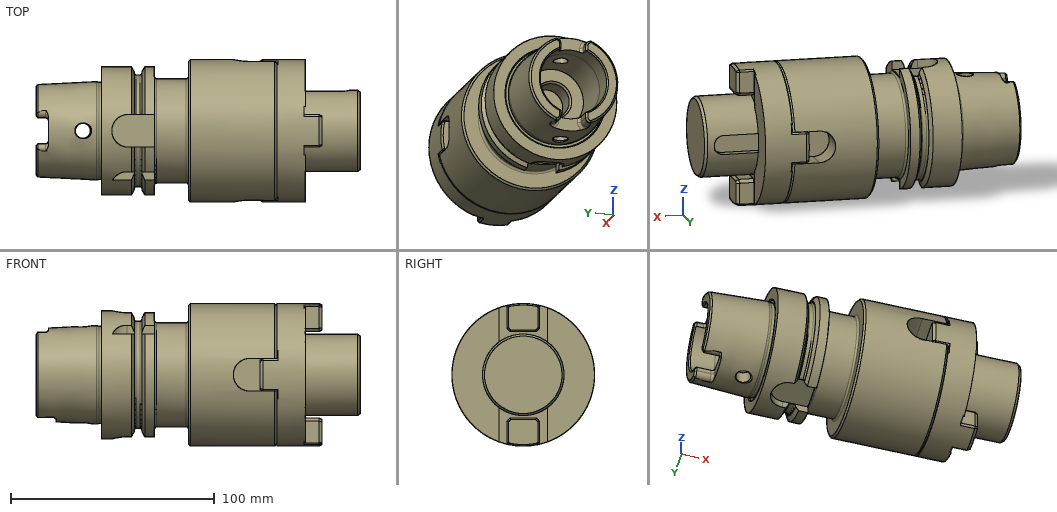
import cadquery as cq
import math

SHANK_LENGTH = 32.0
FLANGE_WIDTH = 26.0
RING_END_X = 100.0
RING_WIDTH = 14.0
PILOT_LENGTH = 27.0
SLEEVE_START_X = 42.7
SLEEVE_END_X = RING_END_X - RING_WIDTH
PILOT_END_X = RING_END_X + PILOT_LENGTH

FLANGE_RADIUS = 31.5
NECK_RADIUS = 25.65
SLEEVE_RADIUS = 35.0
PILOT_RADIUS = 20.0

TAPER_SLOPE = 1 / 20
TAPER_GAUGE_RADIUS = 24.0
TAPER_GAUGE_X = -6.3
TAPER_END_X = -2.3
RELIEF_START_X = -1.1
RELIEF_RADIUS = 23.9
FACE_RECESS_DEPTH = 0.5
FACE_RECESS_RADIUS = 25.7
SHANK_CHAMFER = 0.9

NECK_FILLET = 1.1
SLEEVE_CHAMFER = 1.0
PILOT_CHAMFER_LENGTH = 1.4
PILOT_CHAMFER_DEPTH = 1.0

GROOVE_CENTER_X = 18.0
GROOVE_FLOOR_RADIUS = 27.5
GROOVE_HALF_WIDTH = 3.3
GROOVE_FLANK_ANGLE = 60.0
GROOVE_WALL_HALF_WIDTH = 1.8
GROOVE_FILLET = 0.8

BORE_RADIUS = 17.0
BORE_CHAMFER = 0.7
BORE_STRAIGHT_DEPTH = 13.0
BORE_FLOOR_RADIUS = 15.6
BORE_DEPTH = 36.0
CORE_HOLE_RADIUS = 8.6
CORE_HOLE_CHAMFER = 1.0
CORE_HOLE_DEPTH = 12.0

ACCESS_HOLE_X = -9.1
ACCESS_HOLE_RADIUS = 3.65
ACCESS_HOLE_CHAMFER = 0.5
COUNTERSINK_OVERRUN = 1.0

DRIVE_SLOT_WIDTH = 12.6
DRIVE_SLOT_EDGE_RADIUS = 2.5
DRIVE_SLOT_CORNER_RADIUS = 1.5
DRIVE_SLOT_MOUTH_CHAMFER = 1.0
TOP_DRIVE_SLOT_DEPTH = 6.0
BOTTOM_DRIVE_SLOT_DEPTH = 9.8

KEY_SLOT_WIDTH = 16.0
KEY_SLOT_START_X = 5.1
KEY_SLOT_FLOOR = 26.0
NOTCH_OFFSET = 20.1
NOTCH_START_X = 4.5
NOTCH_END_RADIUS = 8.0

TENON_WIDTH = 16.0
TENON_LENGTH = 8.2
TENON_INNER = 21.15
TENON_TIP_BEVEL_LENGTH = 1.5
TENON_TIP_BEVEL_DEPTH = 0.8
TENON_INNER_CHAMFER = 1.6
TENON_OUTER_CHAMFER = 0.9
RELIEF_WIDTH = 23.8
RELIEF_DEPTH = 0.6
SLEEVE_SLOT_LENGTH = 21.3

PILOT_SLOT_WIDTH = 9.6
PILOT_SLOT_END_X = 122.3
PILOT_SLOT_FLOOR = 15.0

STOCK_RADIUS = SLEEVE_RADIUS + 2.0
SEAM_ANGLE = 45.0
CLEAR = 60.0


def revolve_about_x(profile):
    """Turn a closed XY profile, drawn as (x, radius), about the X axis."""
    return profile.close().revolve(360, (0, 0, 0), (1, 0, 0))


def taper_radius(x):
    return TAPER_GAUGE_RADIUS + (x - TAPER_GAUGE_X) * TAPER_SLOPE


def box(x_range, y_range, z_range):
    """Axis-aligned box from its limits on X, Y and Z."""
    lows, highs = zip(x_range, y_range, z_range)
    sizes = [high - low for low, high in zip(lows, highs)]
    return cq.Workplane("XY").box(*sizes, centered=False).translate(lows)


def round_ended_slot(start_x, end_x, width, floor):
    """Cutter for a slot open towards +Z whose start is a half circle."""
    radius = width / 2
    center_x = start_x + radius
    return (
        cq.Workplane("XY", origin=(0, 0, floor))
        .moveTo(end_x, -radius)
        .lineTo(center_x, -radius)
        .threePointArc((start_x, 0), (center_x, radius))
        .lineTo(end_x, radius)
        .close()
        .extrude(CLEAR)
    )


def turn_about_x(shape, angle):
    return shape.rotate((0, 0, 0), (1, 0, 0), angle)



def turned_arbor():
    shank_start = -SHANK_LENGTH
    chamfer_x = shank_start + SHANK_CHAMFER
    profile = (
        cq.Workplane("XY")
        .moveTo(shank_start, 0)
        .lineTo(shank_start, taper_radius(shank_start) - SHANK_CHAMFER)
        .lineTo(chamfer_x, taper_radius(chamfer_x))
        .lineTo(TAPER_END_X, taper_radius(TAPER_END_X))
        .lineTo(RELIEF_START_X, RELIEF_RADIUS)
        .lineTo(FACE_RECESS_DEPTH, RELIEF_RADIUS)
        .lineTo(FACE_RECESS_DEPTH, FACE_RECESS_RADIUS - FACE_RECESS_DEPTH)
        .lineTo(0, FACE_RECESS_RADIUS)
        .lineTo(0, FLANGE_RADIUS)
        .lineTo(FLANGE_WIDTH, FLANGE_RADIUS)
        .lineTo(FLANGE_WIDTH, NECK_RADIUS + NECK_FILLET)
        .radiusArc((FLANGE_WIDTH + NECK_FILLET, NECK_RADIUS), -NECK_FILLET)
        .lineTo(SLEEVE_START_X - NECK_FILLET, NECK_RADIUS)
        .radiusArc((SLEEVE_START_X, NECK_RADIUS + NECK_FILLET), -NECK_FILLET)
        .lineTo(SLEEVE_START_X, SLEEVE_RADIUS - SLEEVE_CHAMFER)
        .lineTo(SLEEVE_START_X + SLEEVE_CHAMFER, SLEEVE_RADIUS)
        .lineTo(SLEEVE_END_X - SLEEVE_CHAMFER, SLEEVE_RADIUS)
        .lineTo(SLEEVE_END_X, SLEEVE_RADIUS - SLEEVE_CHAMFER)
        .lineTo(SLEEVE_END_X, PILOT_RADIUS)
        .lineTo(PILOT_END_X - PILOT_CHAMFER_LENGTH, PILOT_RADIUS)
        .lineTo(PILOT_END_X, PILOT_RADIUS - PILOT_CHAMFER_DEPTH)
        .lineTo(PILOT_END_X, 0)
    )
    return revolve_about_x(profile)


def gripper_groove():
    """V groove with a straight-walled channel, filleted at its floor."""
    flank_run = GROOVE_HALF_WIDTH - GROOVE_WALL_HALF_WIDTH
    wall_top = FLANGE_RADIUS - flank_run * math.tan(math.radians(GROOVE_FLANK_ANGLE))
    floor_half = GROOVE_WALL_HALF_WIDTH - GROOVE_FILLET
    profile = (
        cq.Workplane("XY", origin=(GROOVE_CENTER_X, 0, 0))
        .moveTo(-GROOVE_HALF_WIDTH, FLANGE_RADIUS)
        .lineTo(-GROOVE_WALL_HALF_WIDTH, wall_top)
        .lineTo(-GROOVE_WALL_HALF_WIDTH, GROOVE_FLOOR_RADIUS + GROOVE_FILLET)
        .radiusArc((-floor_half, GROOVE_FLOOR_RADIUS), -GROOVE_FILLET)
        .lineTo(floor_half, GROOVE_FLOOR_RADIUS)
        .radiusArc((GROOVE_WALL_HALF_WIDTH, GROOVE_FLOOR_RADIUS + GROOVE_FILLET), -GROOVE_FILLET)
        .lineTo(GROOVE_WALL_HALF_WIDTH, wall_top)
        .lineTo(GROOVE_HALF_WIDTH, FLANGE_RADIUS)
    )
    return revolve_about_x(profile)


def shank_bore():
    start = -SHANK_LENGTH
    floor = start + BORE_DEPTH
    profile = (
        cq.Workplane("XY")
        .moveTo(start, 0)
        .lineTo(start, BORE_RADIUS + BORE_CHAMFER)
        .lineTo(start + BORE_CHAMFER, BORE_RADIUS)
        .lineTo(start + BORE_STRAIGHT_DEPTH, BORE_RADIUS)
        .lineTo(floor, BORE_FLOOR_RADIUS)
        .lineTo(floor, CORE_HOLE_RADIUS + CORE_HOLE_CHAMFER)
        .lineTo(floor + CORE_HOLE_CHAMFER, CORE_HOLE_RADIUS)
        .lineTo(floor + CORE_HOLE_DEPTH, CORE_HOLE_RADIUS)
        .lineTo(floor + CORE_HOLE_DEPTH, 0)
    )
    return revolve_about_x(profile)


def access_hole():
    """Plain hole drilled along Z through both shank walls."""
    return (
        cq.Workplane("XY", origin=(ACCESS_HOLE_X, 0, 0))
        .circle(ACCESS_HOLE_RADIUS)
        .extrude(CLEAR, both=True)
    )


def access_countersink():
    """Cone towards +Z that chamfers the mouth of the access hole by 45 degrees."""
    rim_radius = ACCESS_HOLE_RADIUS + ACCESS_HOLE_CHAMFER
    rim_z = taper_radius(ACCESS_HOLE_X)
    tip_radius = ACCESS_HOLE_RADIUS - COUNTERSINK_OVERRUN
    outer_radius = rim_radius + COUNTERSINK_OVERRUN
    base = cq.Vector(ACCESS_HOLE_X, 0, rim_z - (rim_radius - tip_radius))
    return cq.Workplane(cq.Solid.makeCone(tip_radius, outer_radius, outer_radius - tip_radius, base))


def drive_slot(depth):
    """Slot towards +Z whose side walls round over into the taper surface."""
    outer = taper_radius(-SHANK_LENGTH + depth / 2)
    arc_center_y = DRIVE_SLOT_WIDTH / 2 + DRIVE_SLOT_EDGE_RADIUS
    arc_center_z = math.sqrt((outer - DRIVE_SLOT_EDGE_RADIUS) ** 2 - arc_center_y ** 2)

    def section(edge_radius):
        half = arc_center_y - edge_radius
        scale = 1 + edge_radius / (outer - DRIVE_SLOT_EDGE_RADIUS)
        rim_y = arc_center_y * scale
        rim_z = arc_center_z * scale
        return (
            cq.Workplane("YZ", origin=(-SHANK_LENGTH, 0, 0))
            .moveTo(-half, 0)
            .lineTo(-half, arc_center_z)
            .radiusArc((-rim_y, rim_z), -edge_radius)
            .lineTo(-rim_y, CLEAR)
            .lineTo(rim_y, CLEAR)
            .lineTo(rim_y, rim_z)
            .radiusArc((half, arc_center_z), -edge_radius)
            .lineTo(half, 0)
            .close()
        )

    slot = section(DRIVE_SLOT_EDGE_RADIUS).extrude(depth)
    slot = slot.faces(">X").edges("not #Z").fillet(DRIVE_SLOT_CORNER_RADIUS)
    mouth_edge_radius = DRIVE_SLOT_EDGE_RADIUS - DRIVE_SLOT_MOUTH_CHAMFER
    mouth = section(mouth_edge_radius).extrude(DRIVE_SLOT_MOUTH_CHAMFER, taper=45)
    return slot.union(mouth)


def corner_notch():
    """Square corner cut between -Y and +Z, ending in a milled radius."""
    center_x = NOTCH_START_X + NOTCH_END_RADIUS
    wall_y = -NOTCH_OFFSET
    return (
        cq.Workplane("XY", origin=(0, 0, NOTCH_OFFSET))
        .moveTo(FLANGE_WIDTH, wall_y)
        .lineTo(center_x, wall_y)
        .radiusArc((NOTCH_START_X, wall_y - NOTCH_END_RADIUS), -NOTCH_END_RADIUS)
        .lineTo(NOTCH_START_X, -CLEAR)
        .lineTo(FLANGE_WIDTH, -CLEAR)
        .close()
        .extrude(CLEAR)
    )


def pilot_key_slot():
    """Feather key slot towards +Z, rounded at its outer end."""
    radius = PILOT_SLOT_WIDTH / 2
    center_x = PILOT_SLOT_END_X - radius
    return (
        cq.Workplane("XY", origin=(0, 0, PILOT_SLOT_FLOOR))
        .moveTo(SLEEVE_END_X, -radius)
        .lineTo(center_x, -radius)
        .threePointArc((PILOT_SLOT_END_X, 0), (center_x, radius))
        .lineTo(SLEEVE_END_X, radius)
        .close()
        .extrude(PILOT_RADIUS)
    )


def make_arbor():
    arbor = turn_about_x(turned_arbor().cut(gripper_groove()).cut(shank_bore()), SEAM_ANGLE)
    arbor = arbor.cut(access_hole())
    flange_key_slot = round_ended_slot(
        KEY_SLOT_START_X, FLANGE_WIDTH, KEY_SLOT_WIDTH, KEY_SLOT_FLOOR
    )
    for angle, drive_depth in ((0, TOP_DRIVE_SLOT_DEPTH), (180, BOTTOM_DRIVE_SLOT_DEPTH)):
        arbor = arbor.cut(turn_about_x(access_countersink(), angle))
        arbor = arbor.cut(turn_about_x(drive_slot(drive_depth), angle))
        arbor = arbor.cut(turn_about_x(flange_key_slot, angle))
    arbor = arbor.cut(corner_notch())
    tenon_slot = round_ended_slot(
        SLEEVE_END_X - SLEEVE_SLOT_LENGTH, SLEEVE_END_X, TENON_WIDTH, TENON_INNER
    )
    for angle in (90, -90):
        arbor = arbor.cut(turn_about_x(tenon_slot, angle))
    return arbor.cut(turn_about_x(pilot_key_slot(), -90))



def ring_envelope():
    """Outer cylinder and bore that bound the ring and its tenons."""
    tip_x = RING_END_X + TENON_LENGTH
    back_tip_x = SLEEVE_END_X - TENON_LENGTH
    tip_radius = SLEEVE_RADIUS - TENON_TIP_BEVEL_DEPTH
    profile = (
        cq.Workplane("XY")
        .moveTo(back_tip_x, PILOT_RADIUS)
        .lineTo(back_tip_x, tip_radius)
        .lineTo(back_tip_x + TENON_TIP_BEVEL_LENGTH, SLEEVE_RADIUS)
        .lineTo(tip_x - TENON_TIP_BEVEL_LENGTH, SLEEVE_RADIUS)
        .lineTo(tip_x, tip_radius)
        .lineTo(tip_x, PILOT_RADIUS)
    )
    return revolve_about_x(profile)


def tenon():
    """Tenon towards +Z on the ring's +X face, left oversize at its outer end."""
    half = TENON_WIDTH / 2
    inner_half = half - TENON_INNER_CHAMFER
    outer_half = half - TENON_OUTER_CHAMFER
    outer_z = math.sqrt(SLEEVE_RADIUS ** 2 - outer_half ** 2)
    root_x = RING_END_X - RELIEF_DEPTH
    bevel_x = RING_END_X + TENON_LENGTH - TENON_TIP_BEVEL_LENGTH
    bevel_angle = math.degrees(math.atan2(TENON_TIP_BEVEL_DEPTH, TENON_TIP_BEVEL_LENGTH))

    def section(x):
        return (
            cq.Workplane("YZ", origin=(x, 0, 0))
            .moveTo(-inner_half, TENON_INNER)
            .lineTo(inner_half, TENON_INNER)
            .lineTo(half, TENON_INNER + TENON_INNER_CHAMFER)
            .lineTo(half, outer_z - TENON_OUTER_CHAMFER)
            .lineTo(outer_half, outer_z)
            .lineTo(outer_half, STOCK_RADIUS)
            .lineTo(-outer_half, STOCK_RADIUS)
            .lineTo(-outer_half, outer_z)
            .lineTo(-half, outer_z - TENON_OUTER_CHAMFER)
            .lineTo(-half, TENON_INNER + TENON_INNER_CHAMFER)
            .close()
        )

    straight = section(root_x).extrude(bevel_x - root_x)
    tip = section(bevel_x).extrude(TENON_TIP_BEVEL_LENGTH, taper=bevel_angle)
    return straight.union(tip)


def tenon_relief():
    """Shallow recess in the ring's +X face around a tenon."""
    half = RELIEF_WIDTH / 2
    return box((RING_END_X - RELIEF_DEPTH, RING_END_X), (-half, half), (0, CLEAR))


def make_driving_ring():
    ring = (
        cq.Workplane("YZ", origin=(SLEEVE_END_X, 0, 0))
        .circle(STOCK_RADIUS)
        .extrude(RING_WIDTH)
    )
    ring_middle_x = RING_END_X - RING_WIDTH / 2
    turning_axis = ((ring_middle_x, 0, 0), (ring_middle_x, 0, 1))
    front_relief = tenon_relief()
    front_tenon = tenon()
    back_relief = turn_about_x(front_relief.rotate(*turning_axis, 180), 90)
    back_tenon = turn_about_x(front_tenon.rotate(*turning_axis, 180), 90)
    for relief, key in ((front_relief, front_tenon), (back_relief, back_tenon)):
        for angle in (0, 180):
            ring = ring.cut(turn_about_x(relief, angle))
            ring = ring.union(turn_about_x(key, angle))
    return ring.intersect(ring_envelope())


arbor = make_arbor()
driving_ring = make_driving_ring()
result = cq.Compound.makeCompound([arbor.val(), driving_ring.val()])